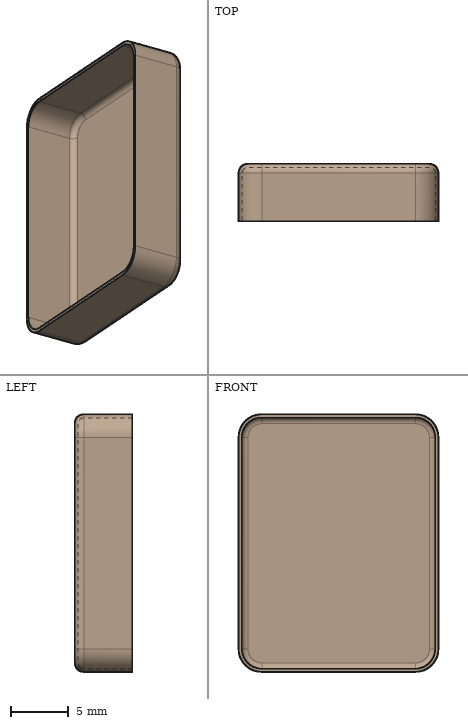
import cadquery as cq

width = 17.3
depth = 5.0
height = 22.3

wall = 0.3
corner_radius = 2.0
back_edge_radius = 0.8

inner_corner_radius = corner_radius - wall
inner_edge_radius = back_edge_radius - wall


def rounded_block(size_x, size_y, size_z, corner, back_edge):
    """Block centred on the origin with rounded corners and a rounded back edge."""
    block = cq.Workplane("XY").box(size_x, size_y, size_z)
    block = block.edges("|Y").fillet(corner)
    return block.faces(">Y").edges().fillet(back_edge)


shell = rounded_block(width, depth, height, corner_radius, back_edge_radius)

cavity = rounded_block(
    width - 2 * wall,
    depth - wall,
    height - 2 * wall,
    inner_corner_radius,
    inner_edge_radius,
).translate((0, -wall / 2, 0))

result = shell.cut(cavity)